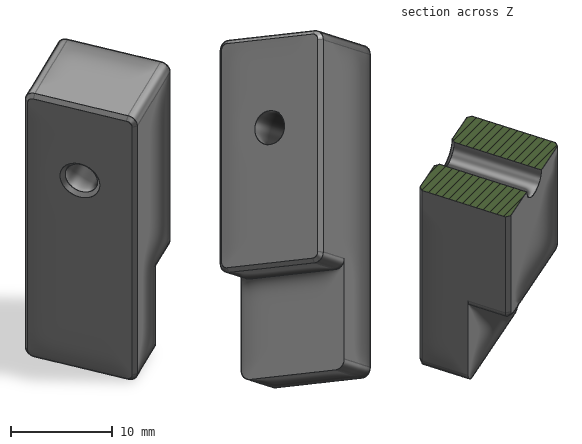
import cadquery as cq

width = 11.8
depth = 9.85
height = 33.3

plate_thickness = 5.43
step_height = 10.05

corner_radius = 1.0
face_chamfer = 0.4

hole_diameter = 3.4
countersink_diameter = 4.2
hole_height = 24.0


def rounded_block(bottom, front, back):
    """Full-width block up to the top, with rounded corners in the XZ outline."""
    block_height = height - bottom
    return (
        cq.Workplane("XY")
        .box(width, back - front, block_height, centered=(True, False, False))
        .translate((0, front, bottom))
        .edges("|Y")
        .fillet(corner_radius)
    )


def countersunk_hole():
    """Cutter along Y: a plain bore with a 45 degree cone at the front face."""
    bore_radius = hole_diameter / 2
    sink_radius = countersink_diameter / 2
    sink_depth = sink_radius - bore_radius
    return (
        cq.Workplane("XY")
        .moveTo(0, 0)
        .lineTo(sink_radius, 0)
        .lineTo(bore_radius, sink_depth)
        .lineTo(bore_radius, depth)
        .lineTo(0, depth)
        .close()
        .revolve(360, (0, 0), (0, 1))
        .translate((0, 0, hole_height))
    )


plate = rounded_block(0, 0, plate_thickness).faces("<Y").chamfer(face_chamfer)
rear_block = rounded_block(step_height, plate_thickness, depth).faces(">Y").chamfer(face_chamfer)

result = plate.union(rear_block).cut(countersunk_hole())